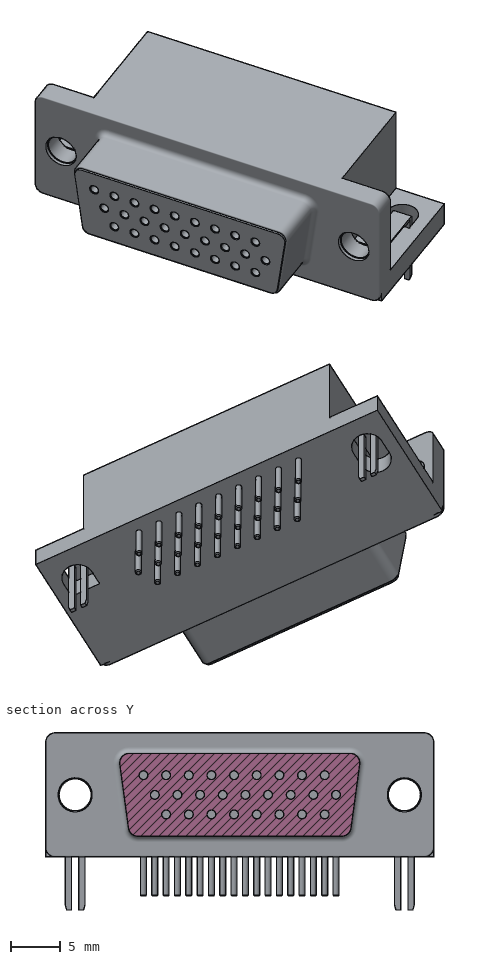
import cadquery as cq
import math


WIDTH = 39.2
HEIGHT = 12.55
DEPTH = 14.23
BODY_WIDTH = 28.22
FLANGE_THICKNESS = 2.35
FOOT_THICKNESS = 2.65
CORNER_RADIUS = 0.98
MID_HEIGHT = HEIGHT / 2

PLATE_THICKNESS = 0.4
PLATE_EDGE_RADIUS = 0.1
MOUNT_SPACING = 33.25
MOUNT_DIAMETER = 3.2
PLATE_HOLE_DIAMETER = 3.45

NOSE_TOP_WIDTH = 24.55
NOSE_HEIGHT = 8.4
NOSE_SIDE_ANGLE = 7.7
NOSE_LENGTH = 6.08
INSERT_PROUD = 0.25
INSERT_INSET = 0.2
SHELL_LENGTH = NOSE_LENGTH - INSERT_PROUD
SHELL_EDGE_RADIUS = 0.1
NOSE_ROOT_RADIUS = 0.6

CONTACT_SPAN = 19.45
HALF_PITCHES_IN_SPAN = 17
CONTACT_PITCH = 2 * CONTACT_SPAN / HALF_PITCHES_IN_SPAN
ROW_SPAN = 3.95
ROW_PITCH = ROW_SPAN / 2
CONTACT_ROWS = [(-8.5, 9), (-7.5, 9), (-6.5, 8)]
SOCKET_DIAMETER = 0.85
SOCKET_MOUTH_DIAMETER = 1.0
SOCKET_DEPTH = 3.92
MOUTH_ANGLE = 45

PIN_DIAMETER = 0.63
PIN_LENGTH = 3.95
PIN_CHAMFER = 0.1
PIN_EMBEDDING = 0.4
PIN_MIDDLE_Y = 10.7

RING_DIAMETER = 4.0
RING_THICKNESS = 0.1
STRIP_WIDTH = 2.05
STRIP_PROUD = 0.15
STRIP_THICKNESS = 0.35
BEND_RADIUS = 0.15
UPRIGHT_PROUD = 0.27
UPRIGHT_TOP = 4.7
LEG_BACK_Y = 10.85
LEG_LENGTH = 5.37
PRONG_WIDTH = 0.65
PRONG_TIP_TAPER = 0.15
PRONG_TIP_LENGTH = 0.55

SLOT_WIDTH = 3.2
SLOT_BACK_CENTER_Y = 10.78
SLOT_FRONT_CENTER_Y = 9.15


def box(x_range, y_range, z_range):
    size = [high - low for low, high in (x_range, y_range, z_range)]
    corner = (x_range[0], y_range[0], z_range[0])
    return cq.Workplane("XY").box(*size, centered=False).translate(corner)


def cylinder_y(diameter, x, z, y_start, y_end):
    plane = cq.Workplane("XZ", origin=(x, y_start, z))
    return plane.circle(diameter / 2).extrude(y_start - y_end)


def make_housing():
    """Flange with rounded top corners, central body and the low feet beside it."""
    flange = box((-WIDTH / 2, WIDTH / 2), (PLATE_THICKNESS, FLANGE_THICKNESS), (0, HEIGHT))
    flange = flange.edges("|Y and >Z").fillet(CORNER_RADIUS)
    body = box((-BODY_WIDTH / 2, BODY_WIDTH / 2), (PLATE_THICKNESS, DEPTH), (0, HEIGHT))
    foot = box((-WIDTH / 2, WIDTH / 2), (PLATE_THICKNESS, DEPTH), (0, FOOT_THICKNESS))
    return flange.union(body).union(foot)


def make_plate():
    """Face plate rounded at all four corners and along its front edge."""
    plate = box((-WIDTH / 2, WIDTH / 2), (0, PLATE_THICKNESS), (0, HEIGHT))
    return plate.edges("|Y").fillet(CORNER_RADIUS).faces("<Y").edges().fillet(PLATE_EDGE_RADIUS)


def make_nose_prism(inset, y_start, y_end):
    """D-shaped prism whose outline is moved inward by inset on every side."""
    angle = math.radians(NOSE_SIDE_ANGLE)
    half_height = NOSE_HEIGHT / 2 - inset
    lean_of_outer = NOSE_HEIGHT / 2 * math.tan(angle)
    middle_half_width = NOSE_TOP_WIDTH / 2 - lean_of_outer - inset / math.cos(angle)
    lean = half_height * math.tan(angle)
    top = middle_half_width + lean
    bottom = middle_half_width - lean
    outline = [(-top, half_height), (top, half_height), (bottom, -half_height), (-bottom, -half_height)]
    plane = cq.Workplane("XZ", origin=(0, y_start, MID_HEIGHT))
    prism = plane.polyline(outline).close().extrude(y_start - y_end)
    return prism.edges("|Y").fillet(CORNER_RADIUS - inset)


def make_nose_and_plate():
    """Face plate with the flared shell and the insert inside it."""
    shell = make_nose_prism(0, -SHELL_LENGTH, PLATE_THICKNESS)
    joined = make_plate().union(shell)
    half_width = NOSE_TOP_WIDTH / 2
    half_height = NOSE_HEIGHT / 2 + PLATE_EDGE_RADIUS
    y_margin = PLATE_EDGE_RADIUS / 2
    root_zone = cq.selectors.BoxSelector(
        (-half_width, -y_margin, MID_HEIGHT - half_height),
        (half_width, y_margin, MID_HEIGHT + half_height),
    )
    joined = joined.edges(root_zone).fillet(NOSE_ROOT_RADIUS)
    joined = joined.faces("<Y").edges().fillet(SHELL_EDGE_RADIUS)
    return joined.union(make_nose_prism(INSERT_INSET, -NOSE_LENGTH, PLATE_THICKNESS))


def contact_positions():
    """Yield (x, row offset) of every contact; the row offset is +1, 0, -1 from the top row down."""
    for row, (first_step, count) in enumerate(CONTACT_ROWS):
        for index in range(count):
            yield (first_step / 2 + index) * CONTACT_PITCH, 1 - row


def make_socket(x, row_offset):
    """Blind bore with a 45-degree lead-in at its mouth."""
    z = MID_HEIGHT + row_offset * ROW_PITCH
    bore = cylinder_y(SOCKET_DIAMETER, x, z, -NOSE_LENGTH, SOCKET_DEPTH - NOSE_LENGTH)
    mouth_plane = cq.Workplane("XZ", origin=(x, -NOSE_LENGTH, z))
    mouth_depth = (SOCKET_MOUTH_DIAMETER - SOCKET_DIAMETER) / 2
    mouth = mouth_plane.circle(SOCKET_MOUTH_DIAMETER / 2).extrude(-mouth_depth, taper=MOUTH_ANGLE)
    return bore.union(mouth)


def make_pin(x, row_offset):
    y = PIN_MIDDLE_Y + row_offset * ROW_PITCH
    pin = cq.Workplane("XY").circle(PIN_DIAMETER / 2).extrude(-PIN_LENGTH - PIN_EMBEDDING)
    return pin.faces("<Z").chamfer(PIN_CHAMFER).translate((x, y, PIN_EMBEDDING))


def make_slot(x, rounded_front):
    """Slot through a foot: round at the back, and round or square at the front."""
    half_width = SLOT_WIDTH / 2
    x_range = (x - half_width, x + half_width)
    slot = box(x_range, (SLOT_FRONT_CENTER_Y, SLOT_BACK_CENTER_Y), (0, FOOT_THICKNESS))
    round_ends = [SLOT_BACK_CENTER_Y]
    if rounded_front:
        round_ends.append(SLOT_FRONT_CENTER_Y)
    for y in round_ends:
        slot = slot.union(cq.Workplane("XY").center(x, y).circle(half_width).extrude(FOOT_THICKNESS))
    return slot


def make_bracket(x):
    """Ring behind the mounting hole, strip along the foot and a two-pronged leg."""
    half_width = STRIP_WIDTH / 2
    x_range = (x - half_width, x + half_width)
    strip_top = FOOT_THICKNESS + STRIP_PROUD
    upright_back = FLANGE_THICKNESS + UPRIGHT_PROUD
    ring = cylinder_y(RING_DIAMETER, x, MID_HEIGHT, PLATE_THICKNESS, FLANGE_THICKNESS + RING_THICKNESS)
    upright = box(x_range, (PLATE_THICKNESS, upright_back), (FOOT_THICKNESS, UPRIGHT_TOP))
    strip = box(x_range, (FLANGE_THICKNESS, LEG_BACK_Y), (strip_top - STRIP_THICKNESS, strip_top))

    inner = half_width - PRONG_WIDTH
    tip = half_width - PRONG_TIP_TAPER
    gap_top = strip_top - STRIP_THICKNESS
    tip_top = PRONG_TIP_LENGTH - LEG_LENGTH
    fork = (
        cq.Workplane("XZ", origin=(x, LEG_BACK_Y, 0))
        .moveTo(-half_width, strip_top)
        .lineTo(-half_width, tip_top)
        .lineTo(-tip, -LEG_LENGTH)
        .lineTo(-inner, -LEG_LENGTH)
        .lineTo(-inner, gap_top)
        .lineTo(inner, gap_top)
        .lineTo(inner, -LEG_LENGTH)
        .lineTo(tip, -LEG_LENGTH)
        .lineTo(half_width, tip_top)
        .lineTo(half_width, strip_top)
        .close()
        .extrude(STRIP_THICKNESS)
    )
    bent_strip = strip.union(fork).edges("|X and >Z and >Y").fillet(BEND_RADIUS)
    return ring.union(upright).union(bent_strip)


result = make_housing().union(make_nose_and_plate())

for side in (-1, 1):
    mount_x = side * MOUNT_SPACING / 2
    result = result.cut(make_slot(mount_x, rounded_front=side < 0))
    result = result.union(make_bracket(mount_x))
    ring_back_y = FLANGE_THICKNESS + RING_THICKNESS
    result = result.cut(cylinder_y(MOUNT_DIAMETER, mount_x, MID_HEIGHT, 0, ring_back_y))
    result = result.cut(cylinder_y(PLATE_HOLE_DIAMETER, mount_x, MID_HEIGHT, 0, PLATE_THICKNESS))

for contact_x, contact_row in contact_positions():
    result = result.cut(make_socket(contact_x, contact_row))
    result = result.union(make_pin(contact_x, contact_row))